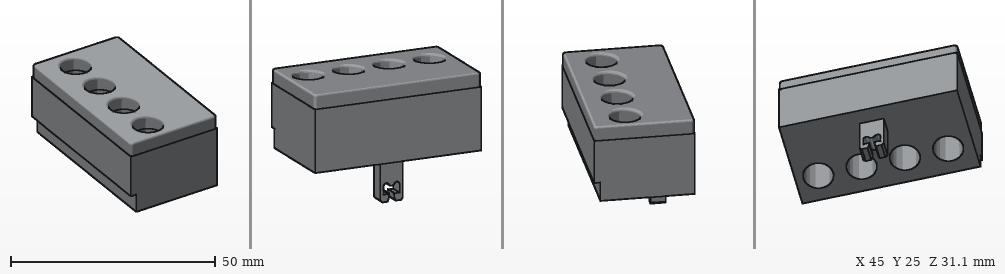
import cadquery as cq
import math

length = 45.0
depth = 25.0
block_height = 20.0
cover_height = 3.7
base_height = block_height - cover_height

corner_radius = 0.9
top_edge_radius = 0.6

hole_count = 4
hole_pitch = 10.95
hole_diameter = 7.45
hole_mouth_radius = 0.7
hole_row_offset = 0.25
hole_row_from_front = 8.7
hole_row_y = hole_row_from_front - depth / 2

step_height = 4.95
step_depth = 1.55

leg_width = 6.1
leg_thickness = 3.75
leg_length = 11.1
leg_from_back = 3.8
leg_chamfer = 0.6
leg_back_y = depth / 2 - leg_from_back

window_half_width = 2.15
window_floor = 1.95
lobe_radius = 0.75
lobe_center_height = 4.05
hump_height = 3.9
lip_height = 2.1
lip_width = 0.2
mouth_half_width = 0.65
mouth_nose_height = 1.25
mouth_nose_half_width = 0.68
mouth_end_half_width = 1.1


def hole_centers():
    """XY centers of the hole row."""
    first_x = hole_row_offset - hole_pitch * (hole_count - 1) / 2
    return [(first_x + i * hole_pitch, hole_row_y) for i in range(hole_count)]


def make_cover():
    """Rounded cover plate with rounded hole mouths."""
    cover = (
        cq.Workplane("XY", origin=(0, 0, base_height))
        .box(length, depth, cover_height, centered=(True, True, False))
        .edges("|Z").fillet(corner_radius)
        .faces(">Z").edges().fillet(top_edge_radius)
    )
    holes = (
        cq.Workplane("XY", origin=(0, 0, base_height))
        .pushPoints(hole_centers())
        .circle(hole_diameter / 2)
        .extrude(cover_height)
    )
    return cover.cut(holes).faces(">Z").edges("%CIRCLE").fillet(hole_mouth_radius)


def make_leg_opening():
    """Two-lobed window with a flared mouth, as a cutter through the leg."""
    tip_z = -leg_length
    floor_z = tip_z + window_floor
    lobe_z = tip_z + lobe_center_height
    lip_z = tip_z + lip_height
    nose_z = tip_z + mouth_nose_height
    lobe_x = window_half_width - lobe_radius
    lobe_top_z = lobe_z + lobe_radius
    hump_z = tip_z + hump_height

    drop = lobe_center_height - hump_height
    hump_radius = (lobe_x**2 + drop**2 - lobe_radius**2) / (2 * (lobe_radius + drop))
    hump_angle = math.atan2(hump_radius - drop, lobe_x)
    tangent_x = lobe_x - lobe_radius * math.cos(hump_angle)
    tangent_z = lobe_z + lobe_radius * math.sin(hump_angle)

    lip_outer_x = mouth_half_width + lip_width
    return (
        cq.Workplane("XZ", origin=(0, leg_back_y, 0))
        .moveTo(-mouth_end_half_width, tip_z)
        .threePointArc((-mouth_nose_half_width, nose_z), (-mouth_half_width, lip_z))
        .lineTo(-lip_outer_x, floor_z)
        .lineTo(-window_half_width, floor_z)
        .lineTo(-window_half_width, lobe_z)
        .threePointArc((-lobe_x, lobe_top_z), (-tangent_x, tangent_z))
        .threePointArc((0, hump_z), (tangent_x, tangent_z))
        .threePointArc((lobe_x, lobe_top_z), (window_half_width, lobe_z))
        .lineTo(window_half_width, floor_z)
        .lineTo(lip_outer_x, floor_z)
        .lineTo(mouth_half_width, lip_z)
        .threePointArc((mouth_nose_half_width, nose_z), (mouth_end_half_width, tip_z))
        .close()
        .extrude(leg_thickness)
    )


def make_leg():
    """Snap-in leg hanging below the base."""
    leg = (
        cq.Workplane("XY", origin=(0, leg_back_y - leg_thickness / 2, -leg_length))
        .box(leg_width, leg_thickness, leg_length, centered=(True, True, False))
        .faces("<Z").edges("|Y").chamfer(leg_chamfer)
    )
    return leg.cut(make_leg_opening())


def make_base():
    """Base block with front step, through holes and integral leg."""
    half_depth = depth / 2
    block = (
        cq.Workplane("YZ", origin=(-length / 2, 0, 0))
        .moveTo(-half_depth + step_depth, 0)
        .lineTo(half_depth, 0)
        .lineTo(half_depth, base_height)
        .lineTo(-half_depth, base_height)
        .lineTo(-half_depth, step_height)
        .lineTo(-half_depth + step_depth, step_height)
        .close()
        .extrude(length)
    )
    holes = (
        cq.Workplane("XY")
        .pushPoints(hole_centers())
        .circle(hole_diameter / 2)
        .extrude(base_height)
    )
    return block.cut(holes).union(make_leg())


cover = make_cover()
base = make_base()

result = cq.Compound.makeCompound([*cover.solids().vals(), *base.solids().vals()])